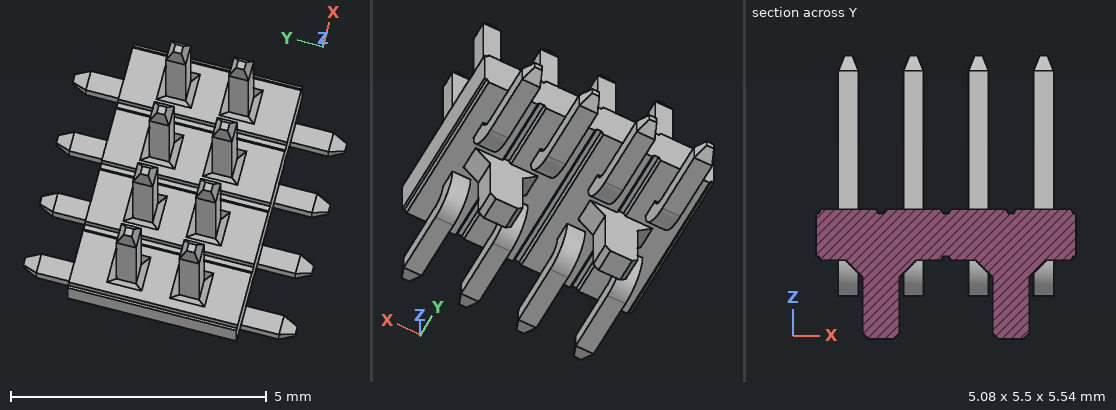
import cadquery as cq

PITCH = 1.27
COLUMNS = 4
ROWS = 2

BODY_LENGTH = COLUMNS * PITCH
BODY_WIDTH = 3.41
BODY_HEIGHT = 1.0

GROOVE_DEPTH = 0.08
GROOVE_FLOOR_WIDTH = 0.1
GROOVE_MOUTH_WIDTH = 0.19

PIN_WIDTH = 0.4
PIN_RISE = 3.0
TAIL_REACH = 2.75
BEND_INNER_RADIUS = 0.3
TIP_LENGTH = 0.3
TIP_WIDTH = 0.16

RECESS_WIDTH = 0.7
RECESS_DEPTH = (RECESS_WIDTH - PIN_WIDTH) / 2

PEG_COUNT = 2
PEG_PITCH = 2 * PITCH
PEG_WIDTH = 0.72
PEG_THICKNESS = 0.5
PEG_LENGTH = 1.54
PEG_TIP_CHAMFER = 0.12
PEG_FLARE = 0.33


def centred(count, pitch):
    """Positions of evenly spaced items, symmetric about zero."""
    return [(i - (count - 1) / 2) * pitch for i in range(count)]


def groove(x, surface_z, inward):
    """Cutter for a groove along Y; inward is the Z direction into the body."""
    half_mouth = GROOVE_MOUTH_WIDTH / 2
    half_floor = GROOVE_FLOOR_WIDTH / 2
    floor_z = surface_z + inward * GROOVE_DEPTH
    return (
        cq.Workplane("XZ")
        .polyline([
            (x - half_mouth, surface_z),
            (x + half_mouth, surface_z),
            (x + half_floor, floor_z),
            (x - half_floor, floor_z),
        ])
        .close()
        .extrude(BODY_WIDTH / 2, both=True)
    )


def recess(x, y):
    """Cutter narrowing from the top face down to the sides of the pin."""
    return (
        cq.Workplane("XY", origin=(x, y, BODY_HEIGHT))
        .rect(RECESS_WIDTH, RECESS_WIDTH)
        .workplane(offset=-RECESS_DEPTH)
        .rect(PIN_WIDTH, PIN_WIDTH)
        .loft()
    )


def make_body():
    body = cq.Workplane("XY").box(BODY_LENGTH, BODY_WIDTH, BODY_HEIGHT, centered=(True, True, False))
    for x in centred(COLUMNS + 1, PITCH):
        body = body.cut(groove(x, BODY_HEIGHT, -1))
        body = body.cut(groove(x, 0, 1))
    for x in centred(COLUMNS, PITCH):
        for y in centred(ROWS, PITCH):
            body = body.cut(recess(x, y))
    return body


def pin_tip(base):
    """Pyramid-shaped tip built outwards from the given workplane."""
    return (
        base.rect(PIN_WIDTH, PIN_WIDTH)
        .workplane(offset=TIP_LENGTH)
        .rect(TIP_WIDTH, TIP_WIDTH)
        .loft()
    )


def make_pin(x):
    """Pin of the +Y row: vertical post, quarter bend, tail towards +Y."""
    row_y = PITCH / 2
    bend_radius = BEND_INNER_RADIUS + PIN_WIDTH / 2
    post_end_z = BODY_HEIGHT + PIN_RISE - TIP_LENGTH
    tail_end_y = TAIL_REACH - TIP_LENGTH
    tail_z = -bend_radius

    path = (
        cq.Workplane("YZ", origin=(x, 0, 0))
        .moveTo(row_y, post_end_z)
        .lineTo(row_y, 0)
        .radiusArc((row_y + bend_radius, tail_z), -bend_radius)
        .lineTo(tail_end_y, tail_z)
    )
    post_end = cq.Workplane("XY", origin=(x, row_y, post_end_z))
    tail_end = cq.Workplane("XZ", origin=(x, tail_end_y, tail_z)).transformed(rotate=(180, 0, 0))
    shaft = post_end.rect(PIN_WIDTH, PIN_WIDTH).sweep(path)
    return shaft.union(pin_tip(post_end)).union(pin_tip(tail_end))


def make_peg(x):
    half_width = PEG_WIDTH / 2
    half_root = half_width + PEG_FLARE
    half_tip = half_width - PEG_TIP_CHAMFER
    tip_shoulder_z = PEG_TIP_CHAMFER - PEG_LENGTH
    return (
        cq.Workplane("XZ", origin=(x, 0, 0))
        .polyline([
            (-half_root, 0),
            (-half_width, -PEG_FLARE),
            (-half_width, tip_shoulder_z),
            (-half_tip, -PEG_LENGTH),
            (half_tip, -PEG_LENGTH),
            (half_width, tip_shoulder_z),
            (half_width, -PEG_FLARE),
            (half_root, 0),
            (half_root, GROOVE_DEPTH),
            (-half_root, GROOVE_DEPTH),
        ])
        .close()
        .extrude(PEG_THICKNESS / 2, both=True)
    )


result = make_body()
for column_x in centred(COLUMNS, PITCH):
    pin = make_pin(column_x)
    result = result.union(pin).union(pin.mirror("XZ"))
for peg_x in centred(PEG_COUNT, PEG_PITCH):
    result = result.union(make_peg(peg_x))